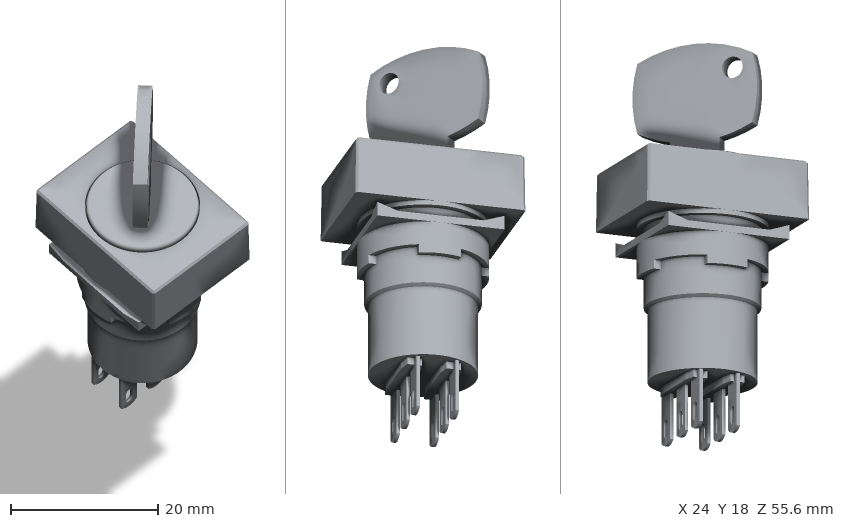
import cadquery as cq
import math


BEZEL_X = 24.0
BEZEL_Y = 18.0
BEZEL_HEIGHT = 8.25
BEZEL_DRAFT = 0.8
BEZEL_CORNER = 0.3
BEZEL_TOP_BEVEL = 0.3

LIP_RADIUS = 9.0
LIP_HEIGHT = 0.65
BARREL_RADIUS = 8.0
BARREL_BOTTOM = -11.7
BLOCK_RADIUS = 7.5
BLOCK_BOTTOM = -22.1
STEP_BEVEL_HEIGHT = 0.4

ROTOR_RADIUS = 7.65
ROTOR_TOP = 8.75
ROTOR_ROUND = 0.4
ROTOR_CLEARANCE = 0.2
ROTOR_DEPTH = 1.0

KEY_THICKNESS = 2.0
KEY_OFFSET = -0.75
KEY_ANGLE = -45.0
KEY_TOP = 25.5
HEAD_HALF_HEIGHT = 6.95
HEAD_HALF_WIDTH = 9.1
HEAD_CORNER_U = 8.38
HEAD_CORNER_V = 4.95
SHANK_HALF_WIDTH = 3.6
KEY_HOLE_DIAMETER = 3.0
KEY_HOLE_U = 5.5
KEY_HOLE_V = 3.08

NUT_SIZE = 18.0
NUT_FLANGE_TOP = -2.15
NUT_FLANGE_THICKNESS = 1.0
NUT_EAR_LEG = 2.95
NUT_EAR_HEIGHT = 1.0
NUT_RING_BOTTOM = -6.5
NUT_TAB_DROP = 1.2
NUT_TAB_WIDTH = 5.9

TERMINAL_PITCH = 5.0
TERMINAL_WIDTH = 2.9
TERMINAL_THICKNESS = 0.5
TERMINAL_BOTTOM = -30.1
TERMINAL_TIP_RISE = 0.62
SLOT_WIDTH = 1.2
SLOT_LENGTH = 2.6
SLOT_CENTRE = 2.35

BASE_X = 2.76
BASE_WIDTH = 2.76
BASE_HEIGHT = 1.0
BASE_HALF_LENGTH = 5.6
BASE_STRAIGHT_HALF_LENGTH = 3.75
BASE_END_WIDTH = 2.07


def cylinder(radius, bottom, top):
    return cq.Workplane("XY").workplane(offset=bottom).circle(radius).extrude(top - bottom)


def make_bezel():
    bezel = cq.Workplane("XY").rect(BEZEL_X, BEZEL_Y).extrude(BEZEL_HEIGHT, taper=BEZEL_DRAFT)
    bezel = bezel.edges("not(|X or |Y)").chamfer(BEZEL_CORNER)
    bezel = bezel.faces(">Z").chamfer(BEZEL_TOP_BEVEL)
    recess = cylinder(ROTOR_RADIUS + ROTOR_CLEARANCE, BEZEL_HEIGHT - ROTOR_DEPTH, BEZEL_HEIGHT)
    return bezel.cut(recess)


def make_barrel():
    return (
        cq.Workplane("XZ")
        .moveTo(0, 0)
        .lineTo(-LIP_RADIUS, 0)
        .lineTo(-LIP_RADIUS, -LIP_HEIGHT)
        .lineTo(-BARREL_RADIUS, -LIP_HEIGHT)
        .lineTo(-BARREL_RADIUS, BARREL_BOTTOM)
        .lineTo(-BLOCK_RADIUS, BARREL_BOTTOM - STEP_BEVEL_HEIGHT)
        .lineTo(-BLOCK_RADIUS, BLOCK_BOTTOM)
        .lineTo(0, BLOCK_BOTTOM)
        .close()
        .revolve(360, (0, 0, 0), (0, 1, 0))
    )


def make_terminal_base(x):
    """Bar with long tapered ends under the contact block."""
    outline = []
    for side in (1, -1):
        outline += [
            (x + side * BASE_WIDTH / 2, -side * BASE_STRAIGHT_HALF_LENGTH),
            (x + side * BASE_WIDTH / 2, side * BASE_STRAIGHT_HALF_LENGTH),
            (x + side * BASE_END_WIDTH / 2, side * BASE_HALF_LENGTH),
            (x - side * BASE_END_WIDTH / 2, side * BASE_HALF_LENGTH),
        ]
    plane = cq.Workplane("XY").workplane(offset=BLOCK_BOTTOM)
    return plane.polyline(outline).close().extrude(-BASE_HEIGHT)


def make_terminal(x, y):
    """Solder tag with a curved tip and a slot; x is the place of its -X face."""
    half = TERMINAL_WIDTH / 2
    shoulder = TERMINAL_BOTTOM + TERMINAL_TIP_RISE
    blade = (
        cq.Workplane("YZ", origin=(x, 0, 0))
        .moveTo(y - half, BLOCK_BOTTOM)
        .lineTo(y - half, shoulder)
        .threePointArc((y, TERMINAL_BOTTOM), (y + half, shoulder))
        .lineTo(y + half, BLOCK_BOTTOM)
        .close()
        .extrude(TERMINAL_THICKNESS)
    )
    slot = (
        cq.Workplane("YZ", origin=(x, 0, 0))
        .center(y, TERMINAL_BOTTOM + SLOT_CENTRE)
        .slot2D(SLOT_LENGTH, SLOT_WIDTH, 90)
        .extrude(TERMINAL_THICKNESS)
    )
    return blade.cut(slot)


def make_housing():
    housing = make_bezel().union(make_barrel())
    for base_x in (-BASE_X, BASE_X):
        housing = housing.union(make_terminal_base(base_x))
        for row in (-1, 0, 1):
            housing = housing.union(make_terminal(base_x - TERMINAL_THICKNESS, row * TERMINAL_PITCH))
    return housing


def make_key():
    """Flat key, built along X and then turned about Z."""
    head_z = KEY_TOP - HEAD_HALF_HEIGHT
    corner_top = head_z + HEAD_CORNER_V
    corner_bottom = head_z - HEAD_CORNER_V
    sagitta = HEAD_HALF_HEIGHT - HEAD_CORNER_V
    arc_radius = (HEAD_CORNER_U**2 + sagitta**2) / (2 * sagitta)
    arc_centre_z = head_z - HEAD_HALF_HEIGHT + arc_radius

    def lower_arc(u):
        return (u, arc_centre_z - math.sqrt(arc_radius**2 - u**2))

    shoulder = lower_arc(SHANK_HALF_WIDTH)
    arc_middle = lower_arc((SHANK_HALF_WIDTH + HEAD_CORNER_U) / 2)
    profile = (
        cq.Workplane("XZ")
        .moveTo(-SHANK_HALF_WIDTH, ROTOR_TOP)
        .lineTo(SHANK_HALF_WIDTH, ROTOR_TOP)
        .lineTo(*shoulder)
        .threePointArc(arc_middle, (HEAD_CORNER_U, corner_bottom))
        .threePointArc((HEAD_HALF_WIDTH, head_z), (HEAD_CORNER_U, corner_top))
        .threePointArc((0, KEY_TOP), (-HEAD_CORNER_U, corner_top))
        .threePointArc((-HEAD_HALF_WIDTH, head_z), (-HEAD_CORNER_U, corner_bottom))
        .threePointArc((-arc_middle[0], arc_middle[1]), (-shoulder[0], shoulder[1]))
        .close()
    )
    key = profile.extrude(KEY_THICKNESS)
    hole = (
        cq.Workplane("XZ")
        .center(KEY_HOLE_U, head_z + KEY_HOLE_V)
        .circle(KEY_HOLE_DIAMETER / 2)
        .extrude(KEY_THICKNESS)
    )
    key = key.cut(hole).translate((KEY_OFFSET, KEY_THICKNESS / 2, 0))
    return key.rotate((0, 0, 0), (0, 0, 1), KEY_ANGLE)


def make_rotor():
    """Disc seated in the bezel recess, with the key standing on it."""
    disc = cylinder(ROTOR_RADIUS, BEZEL_HEIGHT - ROTOR_DEPTH, ROTOR_TOP)
    disc = disc.faces(">Z").edges().fillet(ROTOR_ROUND)
    return disc.union(make_key())


def make_nut_ear():
    """Flange corner that slopes up from a diagonal crease to a sharp tip."""
    edge = NUT_SIZE / 2
    crease = edge - NUT_EAR_LEG
    corner = cq.Vector(edge, edge, NUT_FLANGE_TOP)
    tip = cq.Vector(edge, edge, NUT_FLANGE_TOP + NUT_EAR_HEIGHT)
    crease_x = cq.Vector(edge, crease, NUT_FLANGE_TOP)
    crease_y = cq.Vector(crease, edge, NUT_FLANGE_TOP)
    triangles = [
        (corner, crease_x, crease_y),
        (corner, crease_x, tip),
        (corner, crease_y, tip),
        (crease_x, crease_y, tip),
    ]
    faces = [cq.Face.makeFromWires(cq.Wire.makePolygon(points, close=True)) for points in triangles]
    return cq.Workplane(cq.Solid.makeSolid(cq.Shell.makeShell(faces)))


def make_nut():
    flange_bottom = NUT_FLANGE_TOP - NUT_FLANGE_THICKNESS
    tab_bottom = NUT_RING_BOTTOM - NUT_TAB_DROP
    flange = (
        cq.Workplane("XY")
        .workplane(offset=flange_bottom)
        .rect(NUT_SIZE, NUT_SIZE)
        .extrude(NUT_FLANGE_THICKNESS)
    )
    nut = flange.union(cylinder(NUT_SIZE / 2, NUT_RING_BOTTOM, flange_bottom))

    tab_plane = cq.Workplane("XY").workplane(offset=tab_bottom)
    cross = tab_plane.rect(NUT_SIZE, NUT_TAB_WIDTH).extrude(NUT_TAB_DROP)
    cross = cross.union(cross.rotate((0, 0, 0), (0, 0, 1), 90))
    nut = nut.union(cross.intersect(cylinder(NUT_SIZE / 2, tab_bottom, NUT_RING_BOTTOM)))

    for quarter in range(4):
        nut = nut.union(make_nut_ear().rotate((0, 0, 0), (0, 0, 1), quarter * 90))
    return nut.cut(cylinder(BARREL_RADIUS, tab_bottom, NUT_FLANGE_TOP))


housing = make_housing()
rotor = make_rotor()
nut = make_nut()

result = cq.Compound.makeCompound([housing.val(), rotor.val(), nut.val()])